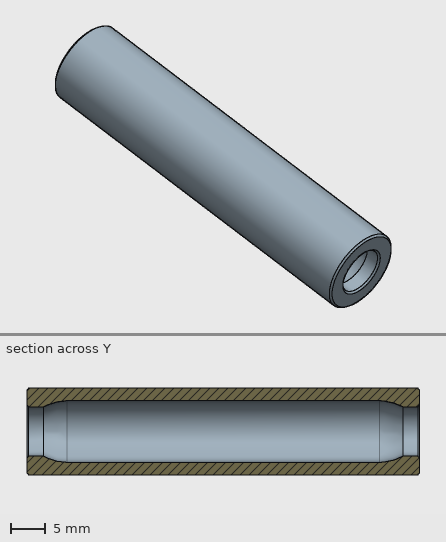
import cadquery as cq
import math

length = 56.25
outer_diameter = 12.5
bore_diameter = 7.0
relief_depth = 0.9
relief_end_radius = 6.75
land_length = 2.35
edge_chamfer = 0.3

half_length = length / 2
bore_radius = bore_diameter / 2


def plain_tube():
    """Straight tube with the outer and bore edges chamfered at both end faces."""
    end_plane = cq.Workplane("YZ", origin=(-half_length, 0, 0))
    tube = end_plane.circle(outer_diameter / 2).circle(bore_radius).extrude(length)
    return tube.faces("<X or >X").edges().chamfer(edge_chamfer)


def bore_relief():
    """Solid of revolution that widens the bore, with rounded ends tangent to its floor."""
    relief_radius = bore_radius + relief_depth
    relief_end = half_length - land_length
    end_run = math.sqrt(relief_end_radius**2 - (relief_end_radius - relief_depth) ** 2)
    floor_end = relief_end - end_run
    profile = (
        cq.Workplane("XY")
        .moveTo(-relief_end, 0)
        .lineTo(relief_end, 0)
        .lineTo(relief_end, bore_radius)
        .radiusArc((floor_end, relief_radius), -relief_end_radius)
        .lineTo(-floor_end, relief_radius)
        .radiusArc((-relief_end, bore_radius), -relief_end_radius)
        .close()
    )
    return profile.revolve(360, (0, 0, 0), (1, 0, 0))


result = plain_tube().cut(bore_relief())